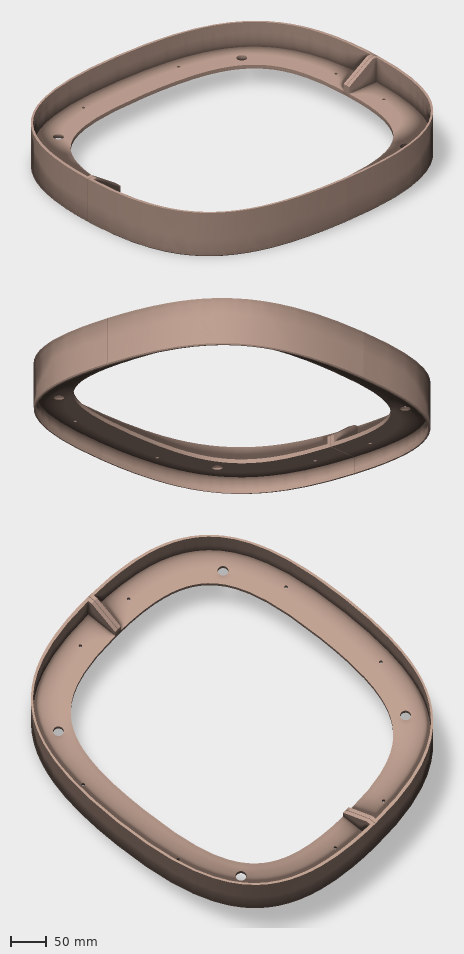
import cadquery as cq

LENGTH = 537.0
WIDTH = 477.0
HEIGHT = 69.0

OUTER_HANDLE_X = 174.5
OUTER_HANDLE_Y = 198.0
OPENING_HALF_X = 183.0
OPENING_HALF_Y = 213.0
OPENING_HANDLE_X = 144.0
OPENING_HANDLE_Y = 167.5

SIDE_WALL = 4.0
END_WALL = 5.0
BOTTOM_CHAMFER = 1.5
PLATE_TOP = 30.0
PLATE_THICKNESS = 6.0

JOINT_GAP = 0.5
RIB_HALF_WIDTH = 6.0
RIB_FLAT = 11.5
RIB_TIP_HEIGHT = 11.0

LARGE_HOLE_DIAMETER = 15.0
LARGE_HOLE_OFFSET = 170.5
SMALL_HOLE_DIAMETER = 5.0
END_HOLE_X = 50.0
END_HOLE_Y = 238.5
SIDE_HOLE_X = 210.5
SIDE_HOLE_Y = 88.5

HALF_X = WIDTH / 2
HALF_Y = LENGTH / 2
CAVITY_HALF_X = HALF_X - SIDE_WALL
CAVITY_HALF_Y = HALF_Y - END_WALL
PLATE_BOTTOM = PLATE_TOP - PLATE_THICKNESS


def add_outline(work, half_x, half_y, handle_x, handle_y):
    """Draw a closed outline of four mirrored Bezier quarters."""
    return (
        work
        .moveTo(half_x, 0)
        .bezier([(half_x, 0), (half_x, handle_y), (handle_x, half_y), (0, half_y)])
        .bezier([(0, half_y), (-handle_x, half_y), (-half_x, handle_y), (-half_x, 0)])
        .bezier([(-half_x, 0), (-half_x, -handle_y), (-handle_x, -half_y), (0, -half_y)])
        .bezier([(0, -half_y), (handle_x, -half_y), (half_x, -handle_y), (half_x, 0)])
        .close()
    )


def rounded_prism(half_x, half_y, handle_x, handle_y, bottom, top):
    work = cq.Workplane("XY", origin=(0, 0, bottom))
    return add_outline(work, half_x, half_y, handle_x, handle_y).extrude(top - bottom)


def outer_prism(bottom, top):
    return rounded_prism(HALF_X, HALF_Y, OUTER_HANDLE_X, OUTER_HANDLE_Y, bottom, top)


def cavity_prism(bottom, top):
    return rounded_prism(
        CAVITY_HALF_X, CAVITY_HALF_Y, OUTER_HANDLE_X, OUTER_HANDLE_Y, bottom, top
    )


def opening_prism(bottom, top):
    return rounded_prism(
        OPENING_HALF_X, OPENING_HALF_Y, OPENING_HANDLE_X, OPENING_HANDLE_Y, bottom, top
    )


def make_bottom_bevel():
    """Bevelled bottom layer, ruled between the inset and the full outline."""
    inset = add_outline(
        cq.Workplane("XY"),
        HALF_X - BOTTOM_CHAMFER, HALF_Y - BOTTOM_CHAMFER, OUTER_HANDLE_X, OUTER_HANDLE_Y,
    )
    full_plane = inset.workplane(offset=BOTTOM_CHAMFER)
    full = add_outline(full_plane, HALF_X, HALF_Y, OUTER_HANDLE_X, OUTER_HANDLE_Y)
    return full.loft(ruled=True)


def make_wall_and_plate():
    """Outer wall with the plate set partway up, open above and below."""
    shell = outer_prism(BOTTOM_CHAMFER, HEIGHT).union(make_bottom_bevel())
    return (
        shell
        .cut(cavity_prism(PLATE_TOP, HEIGHT))
        .cut(cavity_prism(0, PLATE_BOTTOM))
        .cut(opening_prism(PLATE_BOTTOM, PLATE_TOP))
    )


def make_ribs():
    """Sloped ribs standing on the plate at both ends of the joint."""
    rib = (
        cq.Workplane("YZ", origin=(-RIB_HALF_WIDTH, 0, 0))
        .moveTo(0, PLATE_BOTTOM)
        .lineTo(HALF_Y, PLATE_BOTTOM)
        .lineTo(HALF_Y, HEIGHT)
        .lineTo(HALF_Y - RIB_FLAT, HEIGHT)
        .lineTo(OPENING_HALF_Y, PLATE_TOP + RIB_TIP_HEIGHT)
        .lineTo(0, PLATE_TOP + RIB_TIP_HEIGHT)
        .close()
        .extrude(2 * RIB_HALF_WIDTH)
        .intersect(outer_prism(PLATE_BOTTOM, HEIGHT))
        .cut(opening_prism(PLATE_BOTTOM, HEIGHT))
    )
    return rib.union(rib.mirror("XZ"))


def mirrored_points(x, y):
    return [(sx * x, sy * y) for sx in (-1, 1) for sy in (-1, 1)]


def make_holes():
    """Cutters for the large and small holes in the plate."""
    plane = cq.Workplane("XY", origin=(0, 0, PLATE_BOTTOM))
    large = (
        plane.pushPoints(mirrored_points(LARGE_HOLE_OFFSET, LARGE_HOLE_OFFSET))
        .circle(LARGE_HOLE_DIAMETER / 2)
        .extrude(PLATE_THICKNESS)
    )
    small_places = mirrored_points(END_HOLE_X, END_HOLE_Y) + mirrored_points(SIDE_HOLE_X, SIDE_HOLE_Y)
    small = (
        plane.pushPoints(small_places)
        .circle(SMALL_HOLE_DIAMETER / 2)
        .extrude(PLATE_THICKNESS)
    )
    return large.union(small)


def make_half(frame, side):
    """The part of the frame on one side of the joint; side is -1 or 1."""
    half_space = (
        cq.Workplane("XY")
        .box(WIDTH, 2 * LENGTH, HEIGHT, centered=(True, True, False))
        .translate((side * (WIDTH + JOINT_GAP) / 2, 0, 0))
    )
    return frame.intersect(half_space)


frame = make_wall_and_plate().union(make_ribs()).cut(make_holes())
frame_halves = [make_half(frame, side).val() for side in (-1, 1)]
solids = [solid for half in frame_halves for solid in half.Solids()]
result = cq.Compound.makeCompound(solids)